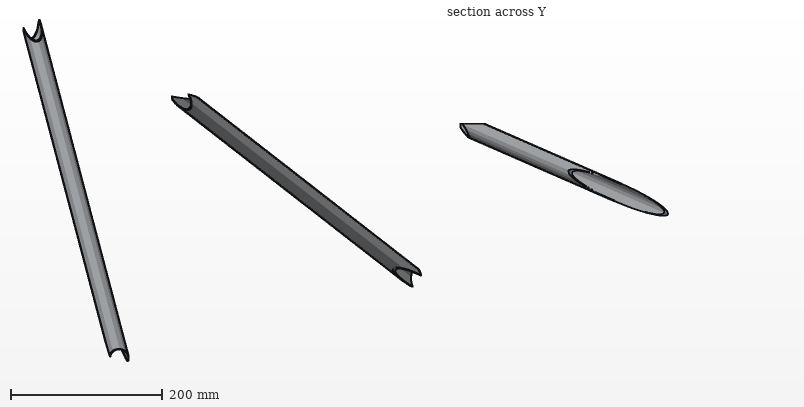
import cadquery as cq

tube_diameter = 25.5
wall = 1.07
upper_centre = cq.Vector(0, 94.0, 192.7)
lower_centre = cq.Vector(429.3, 10.7, 5.0)
overrun = 51.5
trim_size = 257.5

upper_rear_side = cq.Vector(0, 105.5, 187.5)
upper_front_tip = cq.Vector(2.5, 81.5, 192.7)
upper_underside = cq.Vector(11.0, 90, 174.5)
lower_front_tip = cq.Vector(419.5, 1.0, 10.7)
lower_rear_side = cq.Vector(429.3, 24.0, 5.0)
lower_top = cq.Vector(421.0, 12.5, 22.5)
lower_rear_tip = cq.Vector(425.5, 21.5, 0)
lower_underside = cq.Vector(380.8, 18.0, 13)


def make_tube():
    axis = lower_centre - upper_centre
    direction = axis.normalized()
    start = upper_centre - direction * overrun
    profile = cq.Workplane(cq.Plane(origin=start, normal=direction))
    inner_diameter = tube_diameter - 2 * wall
    return profile.circle(tube_diameter / 2).circle(inner_diameter / 2).extrude(axis.Length + 2 * overrun)


def trim_block(point, normal):
    """Square block standing on a plane, on the side its normal points to."""
    plane = cq.Plane(origin=point, normal=normal)
    return cq.Workplane(plane).rect(trim_size, trim_size).extrude(trim_size)


def trim_through(first, second, third, outward):
    """Trim block on the plane through three points, lying on the outward side."""
    normal = (second - first).cross(third - first)
    if normal.dot(outward) < 0:
        normal = normal * -1
    return trim_block(first, normal)


up = cq.Vector(0, 0, 1)
right = cq.Vector(1, 0, 0)

result = (
    make_tube()
    .cut(trim_block(upper_front_tip, up))
    .cut(trim_through(upper_rear_side, upper_front_tip, upper_underside, right * -1))
    .cut(trim_block(upper_rear_side, right * -1))
    .cut(trim_through(lower_front_tip, lower_rear_side, lower_top, right))
    .cut(trim_through(lower_front_tip, lower_rear_tip, lower_underside, up * -1))
    .cut(trim_block(lower_rear_tip, up * -1))
    .cut(trim_block(lower_rear_side, right))
)